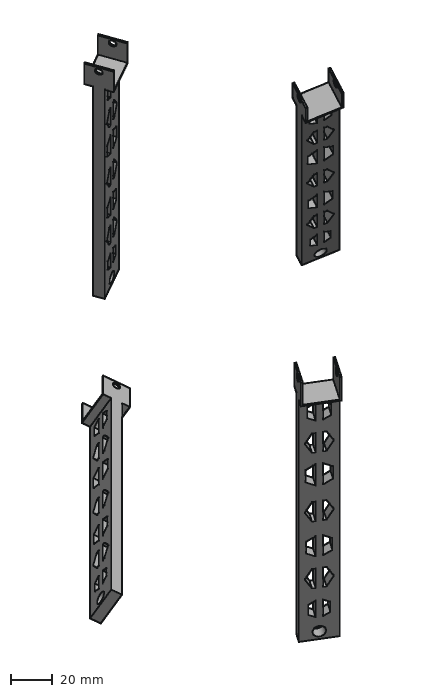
import cadquery as cq
import math

total_height = 168.0
depth = 20.0

bar_thickness = 6.0
bar_hole_diameter = 6.6
bar_hole_height = 5.0

bracket_width = 15.0
bracket_height = 15.0
sheet_thickness = 1.0
ear_hole_diameter = 4.0
ear_hole_drop = 3.0

bar_height = total_height - bracket_height

hexagon_sides = 6
rib_width = 3.6
side_point_radius = 7.1
along_y = 0
along_z = 90
side_point_heights = (38.9, 81.2, 124.75)
upright_windows = ((19.45, 6.25), (59.1, 7.4), (104.35, 7.75), (144.4, 6.75))


def make_bar():
    """Flat bar standing on Z = 0."""
    return cq.Workplane("XY").box(bar_thickness, depth, bar_height, centered=(True, True, False))


def make_bracket():
    """U-shaped bracket, open at the top, with its floor on the bar's top end."""
    block = (
        cq.Workplane("XY")
        .workplane(offset=bar_height)
        .box(bracket_width, depth, bracket_height, centered=(True, True, False))
    )
    channel = (
        cq.Workplane("XY")
        .workplane(offset=bar_height + sheet_thickness)
        .box(bracket_width, depth - 2 * sheet_thickness, bracket_height, centered=(True, True, False))
    )
    ear_holes = (
        cq.Workplane("XZ")
        .center(0, total_height - ear_hole_drop)
        .circle(ear_hole_diameter / 2)
        .extrude(depth, both=True)
    )
    return block.cut(channel).cut(ear_holes)


def make_window(height, radius, first_corner_angle):
    """Hexagonal cutter through the bar, without the strip taken by the rib."""
    corners = []
    for index in range(hexagon_sides):
        angle = math.radians(first_corner_angle + index * 360 / hexagon_sides)
        corners.append((radius * math.cos(angle), height + radius * math.sin(angle)))
    hexagon = cq.Workplane("YZ").polyline(corners).close().extrude(bar_thickness, both=True)
    rib = cq.Workplane("XY").box(2 * bar_thickness, rib_width, 2 * total_height)
    return hexagon.cut(rib)


def make_bar_hole():
    """Round cutter through the bottom end of the bar."""
    return (
        cq.Workplane("YZ")
        .center(0, bar_hole_height)
        .circle(bar_hole_diameter / 2)
        .extrude(bar_thickness, both=True)
    )


bar = make_bar().cut(make_bar_hole())
for window_height in side_point_heights:
    bar = bar.cut(make_window(window_height, side_point_radius, along_y))
for window_height, window_radius in upright_windows:
    bar = bar.cut(make_window(window_height, window_radius, along_z))

result = bar.union(make_bracket())